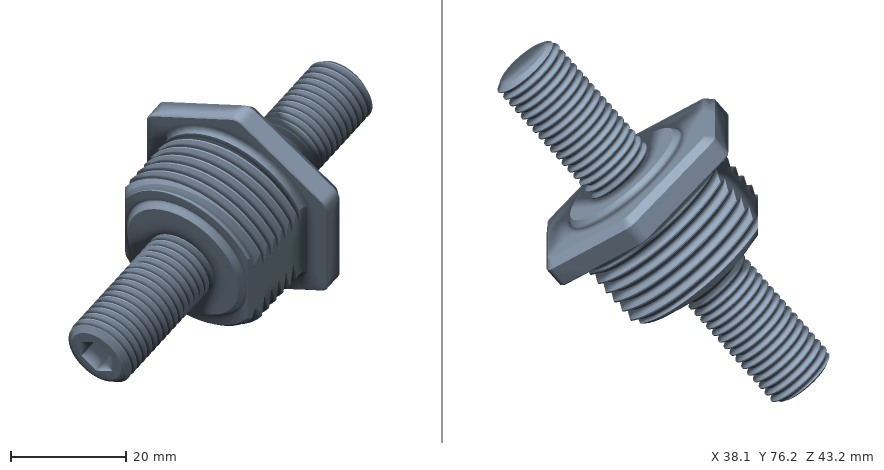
import cadquery as cq
import math


STUD_LENGTH = 76.2
STUD_RADIUS = 6.6
STUD_END_RADIUS = 5.2
STUD_END_CHAMFER = 0.8
SOCKET_FLATS = 6.4
SOCKET_DEPTH = 6.1
SOCKET_TIP_DEPTH = 1.8

STUD_THREAD_TURNS = 18
STUD_THREAD_LENGTH = 28.6
STUD_PITCH = STUD_THREAD_LENGTH / STUD_THREAD_TURNS
STUD_THREAD_DEPTH = 1.0
SHANK_RADIUS = 5.6
STUD_THREAD_STARTS = (-39.0, 9.75)

INSULATOR_RADIUS = 12.7
INSULATOR_LENGTH = 11.4
INSULATOR_PROUD = 1.15
INSULATOR_CHAMFER = 1.1

HOUSING_BACK = INSULATOR_LENGTH - INSULATOR_PROUD
HOUSING_FRONT = -HOUSING_BACK
HEX_FLATS = 38.1
HEX_THICKNESS = 5.2
HEX_CORNER_RADIUS = 2.5
HEX_BACK_CHAMFER = 1.4
HEX_FRONT_CHAMFER = 0.2
HEX_FRONT = HOUSING_BACK - HEX_THICKNESS
BARREL_RADIUS = 16.45
BARREL_CHAMFER = 1.6
BARREL_HALF_WIDTH = 14.2
FLAT_CHAMFER_DEPTH = 1.4
FLAT_CHAMFER_LENGTH = 1.7
NECK_LENGTH = 1.3
NECK_FRONT = HEX_FRONT - NECK_LENGTH
NECK_FILLET = 0.85

HOUSING_PITCH = 2.2
HOUSING_THREAD_TURNS = 8
HOUSING_THREAD_START = -11.0
HOUSING_THREAD_DEPTH = 1.7

GROOVE_MOUTH = 7 / 8
GROOVE_ROOT = 1 / 8
GROOVE_OVERCUT = 0.1


def plane_across_y(y):
    """Plane square to the Y axis, facing +Y, with its local x axis along -Z."""
    return cq.Plane(origin=(0, y, 0), xDir=(0, 0, -1), normal=(0, 1, 0))


def cylinder(radius, y_start, y_end):
    return cq.Workplane(plane_across_y(y_start)).circle(radius).extrude(y_end - y_start)


def hexagon(across_flats, y_start, length):
    """Hexagonal prism with corners at +Z and -Z."""
    across_corners = across_flats / math.cos(math.pi / 6)
    outline = cq.Workplane(plane_across_y(y_start)).polygon(6, across_corners)
    return outline.extrude(length)


def thread_groove(radius, depth, pitch, turns, y_start):
    """Right-handed V groove that starts on the -Z side at y_start and advances along +Y."""
    flank_slope = (GROOVE_MOUTH - GROOVE_ROOT) * pitch / 2 / depth
    half_root = GROOVE_ROOT * pitch / 2
    half_mouth = half_root + flank_slope * (depth + GROOVE_OVERCUT)
    root_radius = radius - depth
    mouth_radius = radius + GROOVE_OVERCUT
    section = [
        (root_radius, -half_root),
        (mouth_radius, -half_mouth),
        (mouth_radius, half_mouth),
        (root_radius, half_root),
    ]
    faces = []
    for turn in range(turns):
        helices = [
            cq.Wire.makeHelix(pitch, pitch, corner_radius, cq.Vector(0, 0, offset + turn * pitch))
            for corner_radius, offset in section
        ]
        for i in range(len(helices)):
            faces += cq.Face.makeRuledSurface(helices[i - 1], helices[i]).Faces()
    for end_height in (0, turns * pitch):
        corners = [cq.Vector(corner_radius, 0, offset + end_height) for corner_radius, offset in section]
        faces.append(cq.Face.makeFromWires(cq.Wire.makePolygon(corners, close=True)))
    groove = cq.Solid.makeSolid(cq.Shell.makeShell(faces))
    return cq.Workplane(groove.moved(plane_across_y(y_start).location))


def make_stud():
    """Chamfered rod, threaded at both ends, with a narrower shank through the insulators."""
    half_length = STUD_LENGTH / 2
    rod = (
        cq.Workplane("XY")
        .moveTo(0, -half_length)
        .lineTo(STUD_END_RADIUS, -half_length)
        .lineTo(STUD_RADIUS, -half_length + STUD_END_CHAMFER)
        .lineTo(STUD_RADIUS, -INSULATOR_LENGTH)
        .lineTo(SHANK_RADIUS, -INSULATOR_LENGTH)
        .lineTo(SHANK_RADIUS, INSULATOR_LENGTH)
        .lineTo(STUD_RADIUS, INSULATOR_LENGTH)
        .lineTo(STUD_RADIUS, half_length - STUD_END_CHAMFER)
        .lineTo(STUD_END_RADIUS, half_length)
        .lineTo(0, half_length)
        .close()
        .revolve(360, (0, 0), (0, 1))
    )
    stud = rod.cut(make_socket())
    for start in STUD_THREAD_STARTS:
        stud = stud.cut(
            thread_groove(STUD_RADIUS, STUD_THREAD_DEPTH, STUD_PITCH, STUD_THREAD_TURNS, start)
        )
    return stud


def make_socket():
    """Hexagonal key socket in the front end, closed by a six-sided pyramid."""
    front = -STUD_LENGTH / 2
    prism = hexagon(SOCKET_FLATS, front, SOCKET_DEPTH)
    corner_radius = SOCKET_FLATS / 2 / math.cos(math.pi / 6)
    corners = [
        cq.Vector(
            corner_radius * math.sin(i * math.pi / 3),
            front + SOCKET_DEPTH,
            corner_radius * math.cos(i * math.pi / 3),
        )
        for i in range(6)
    ]
    tip = cq.Vector(0, front + SOCKET_DEPTH + SOCKET_TIP_DEPTH, 0)
    faces = [cq.Face.makeFromWires(cq.Wire.makePolygon(corners, close=True))]
    for i in range(6):
        side = cq.Wire.makePolygon([corners[i - 1], corners[i], tip], close=True)
        faces.append(cq.Face.makeFromWires(side))
    pyramid = cq.Solid.makeSolid(cq.Shell.makeShell(faces))
    return prism.union(cq.Workplane(pyramid))


def make_insulator(direction):
    """Chamfered bush from mid-length of the housing out past its end on the given side of Y."""
    outer_end = direction * INSULATOR_LENGTH
    chamfer_start = direction * (INSULATOR_LENGTH - INSULATOR_PROUD)
    return (
        cq.Workplane("XY")
        .moveTo(SHANK_RADIUS, 0)
        .lineTo(INSULATOR_RADIUS, 0)
        .lineTo(INSULATOR_RADIUS, chamfer_start)
        .lineTo(INSULATOR_RADIUS - INSULATOR_CHAMFER, outer_end)
        .lineTo(SHANK_RADIUS, outer_end)
        .close()
        .revolve(360, (0, 0), (0, 1))
    )


def flats_envelope():
    """Block that leaves two flats on the barrel, chamfered toward the front."""
    front_half_width = BARREL_HALF_WIDTH - FLAT_CHAMFER_DEPTH
    chamfer_back = HOUSING_FRONT + FLAT_CHAMFER_LENGTH
    return (
        cq.Workplane("XY")
        .moveTo(-front_half_width, HOUSING_FRONT)
        .lineTo(front_half_width, HOUSING_FRONT)
        .lineTo(BARREL_HALF_WIDTH, chamfer_back)
        .lineTo(BARREL_HALF_WIDTH, HEX_FRONT)
        .lineTo(-BARREL_HALF_WIDTH, HEX_FRONT)
        .lineTo(-BARREL_HALF_WIDTH, chamfer_back)
        .close()
        .extrude(BARREL_RADIUS, both=True)
    )


def make_hex_flange():
    return (
        hexagon(HEX_FLATS, HEX_FRONT, HEX_THICKNESS)
        .edges("|Y")
        .fillet(HEX_CORNER_RADIUS)
        .faces(">Y")
        .chamfer(HEX_BACK_CHAMFER)
        .faces("<Y")
        .chamfer(HEX_FRONT_CHAMFER)
    )


def make_flange_and_neck():
    """Hexagonal flange with the plain neck, filleted where they meet."""
    neck = cylinder(BARREL_RADIUS, NECK_FRONT, HEX_FRONT).intersect(flats_envelope())
    junction = cq.selectors.BoxSelector(
        (-BARREL_RADIUS - 0.8, HEX_FRONT - 0.01, -BARREL_RADIUS - 0.8),
        (BARREL_RADIUS + 0.8, HEX_FRONT + 0.01, BARREL_RADIUS + 0.8),
        boundingbox=True,
    )
    return make_hex_flange().union(neck).edges(junction).fillet(NECK_FILLET)


def make_threaded_barrel():
    barrel = cylinder(BARREL_RADIUS, HOUSING_FRONT, NECK_FRONT).faces("<Y").chamfer(BARREL_CHAMFER)
    groove = thread_groove(
        BARREL_RADIUS, HOUSING_THREAD_DEPTH, HOUSING_PITCH, HOUSING_THREAD_TURNS, HOUSING_THREAD_START
    )
    return barrel.cut(groove).intersect(flats_envelope())


def make_housing():
    bore = cylinder(INSULATOR_RADIUS, HOUSING_FRONT, HOUSING_BACK)
    return make_flange_and_neck().union(make_threaded_barrel()).cut(bore)


stud = make_stud()
housing = make_housing()
insulators = [make_insulator(direction) for direction in (-1, 1)]

result = cq.Compound.makeCompound(
    [stud.val(), housing.val(), *[insulator.val() for insulator in insulators]]
)